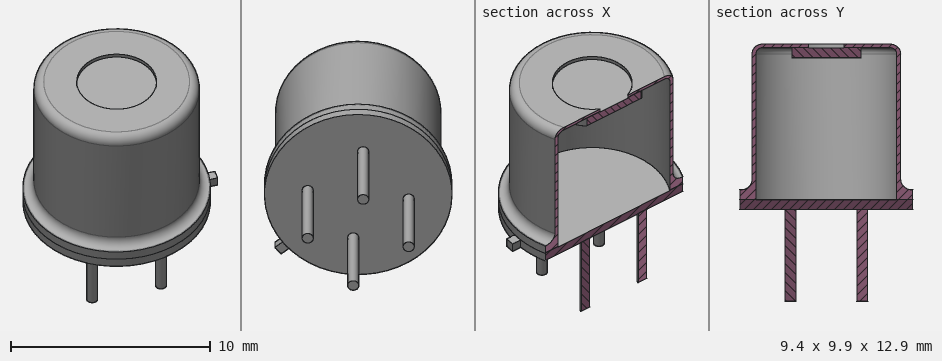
import cadquery as cq
import math

pin_length = 4.6
base_thickness = 0.5
flange_thickness = 0.5
total_height = 12.9
base_bottom = pin_length
base_top = base_bottom + base_thickness
flange_top = base_top + flange_thickness

flange_radius = 4.7
tab_width = 0.5
tab_reach = 5.2

cap_radius = 4.15
edge_radius = 0.5
wall = 0.2
opening_radius = 2.0

window_lip = 0.5
window_thickness = 0.5

pin_count = 4
pin_diameter = 0.56
pin_circle_diameter = 5.08
first_pin_angle = 45


def arc_point(center_r, center_z, radius, angle):
    """Point on a profile arc, in (distance from axis, height)."""
    return (
        center_r + radius * math.cos(math.radians(angle)),
        center_z + radius * math.sin(math.radians(angle)),
    )


def make_cap():
    bore_radius = cap_radius - wall
    roof_bottom = total_height - wall
    inner_edge_radius = edge_radius - wall
    edge_center_r = cap_radius - edge_radius
    edge_center_z = total_height - edge_radius
    foot_center_r = cap_radius + edge_radius
    foot_center_z = flange_top + edge_radius
    profile = (
        cq.Workplane("XZ")
        .moveTo(bore_radius, base_top)
        .lineTo(flange_radius, base_top)
        .lineTo(flange_radius, flange_top)
        .lineTo(foot_center_r, flange_top)
        .threePointArc(
            arc_point(foot_center_r, foot_center_z, edge_radius, 225),
            (cap_radius, foot_center_z),
        )
        .lineTo(cap_radius, edge_center_z)
        .threePointArc(
            arc_point(edge_center_r, edge_center_z, edge_radius, 45),
            (edge_center_r, total_height),
        )
        .lineTo(opening_radius, total_height)
        .lineTo(opening_radius, roof_bottom)
        .lineTo(edge_center_r, roof_bottom)
        .threePointArc(
            arc_point(edge_center_r, edge_center_z, inner_edge_radius, 45),
            (bore_radius, edge_center_z),
        )
        .close()
    )
    return profile.revolve(360, (0, 0, 0), (0, 1, 0))


def make_window():
    window_bottom = total_height - wall - window_thickness
    return (
        cq.Workplane("XY")
        .workplane(offset=window_bottom)
        .circle(opening_radius + window_lip)
        .extrude(window_thickness)
    )


def base_plane():
    return cq.Workplane("XY").workplane(offset=base_bottom)


def make_base():
    return base_plane().circle(flange_radius).extrude(base_thickness)


def make_tab(base):
    """Bar along +Y whose root is hollowed to sit against the base rim."""
    bar = (
        base_plane()
        .center(0, tab_reach / 2)
        .rect(tab_width, tab_reach)
        .extrude(base_thickness)
    )
    return bar.cut(base)


def make_pin(angle):
    pin_x, pin_y = arc_point(0, 0, pin_circle_diameter / 2, angle)
    return (
        cq.Workplane("XY")
        .center(pin_x, pin_y)
        .circle(pin_diameter / 2)
        .extrude(pin_length)
    )


cap = make_cap()
window = make_window()
base = make_base()
tab = make_tab(base)
pins = [make_pin(first_pin_angle + i * 360 / pin_count) for i in range(pin_count)]

result = cq.Compound.makeCompound(
    [cap.val(), window.val(), base.val(), tab.val(), *[pin.val() for pin in pins]]
)